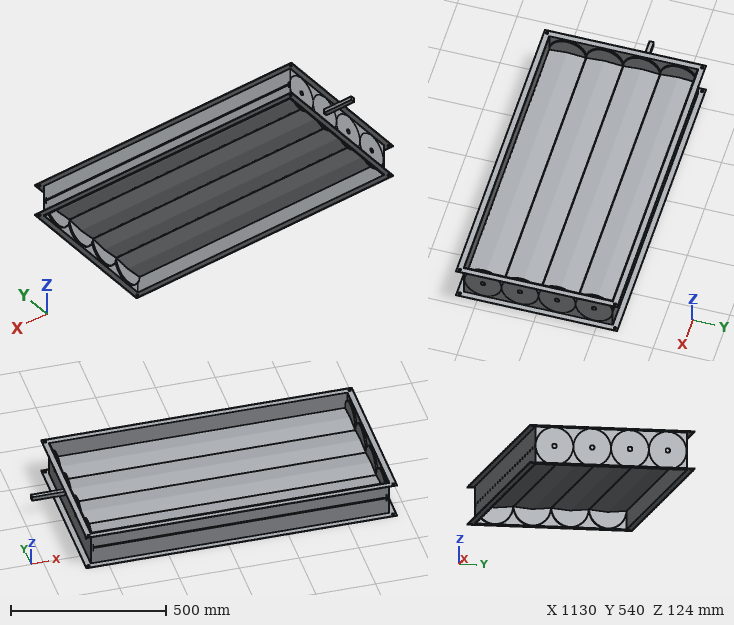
import cadquery as cq

DUCT_LENGTH = 1000.0
DUCT_WIDTH = 501.0
HEIGHT = 124.0
SHEET = 2.0
OVERALL_LENGTH = 1130.0
FLANGE_LENGTH = 1040.0
FLANGE_WIDTH = 540.0

BOLT_HOLE_DIAMETER = 7.0
BOLT_HOLE_INSET = 10.0

BLADE_COUNT = 4
DISC_THICKNESS = 6.0
DISC_GAP = 1.0
PIN_LENGTH = 1.4
PIN_DIAMETER = 15.0
RIDGE_HALF_THICKNESS = 8.0
TIP_HALF_THICKNESS = 2.0
RIDGE_FLAT = 3.0

DRIVEN_BLADE = 2
BAR_SIDE = 15.0

INNER_LENGTH = DUCT_LENGTH - 2 * SHEET
INNER_WIDTH = DUCT_WIDTH - 2 * SHEET
BLADE_PITCH = INNER_WIDTH / BLADE_COUNT
DISC_DIAMETER = BLADE_PITCH - DISC_GAP
DISC_SPAN = INNER_LENGTH - 2 * PIN_LENGTH
BLADE_LENGTH = DISC_SPAN - 2 * DISC_THICKNESS
BLADE_CENTRES = [(i - (BLADE_COUNT - 1) / 2) * BLADE_PITCH for i in range(BLADE_COUNT)]
DRIVEN_Y = BLADE_CENTRES[DRIVEN_BLADE]


def centred_box(length, width, height):
    return cq.Workplane("XY").box(length, width, height)


def rod_along_x(diameter, length, y):
    return cq.Workplane("YZ").center(y, 0).circle(diameter / 2).extrude(length / 2, both=True)


def make_channel(wall_length, flange_length, wall_outside, flange_outside):
    """Channel along X on the +Y side: a wall with an outward flange at its top and bottom."""
    wall_inside = wall_outside - SHEET
    flange_depth = flange_outside - wall_inside
    channel = centred_box(wall_length, SHEET, HEIGHT).translate((0, wall_outside - SHEET / 2, 0))
    for side in (-1, 1):
        flange = centred_box(flange_length, flange_depth, SHEET)
        flange_y = wall_inside + flange_depth / 2
        channel = channel.union(flange.translate((0, flange_y, side * (HEIGHT - SHEET) / 2)))
    return channel


def make_frame():
    """Two full-length side channels with end channels fitted between them.

    Cleaning is off so that the butt joints stay as seams across the end flanges.
    """
    side_channel = make_channel(DUCT_LENGTH, FLANGE_LENGTH, DUCT_WIDTH / 2, FLANGE_WIDTH / 2)
    end_channel = make_channel(INNER_WIDTH, INNER_WIDTH, DUCT_LENGTH / 2, FLANGE_LENGTH / 2)
    frame = side_channel
    for channel, angle in ((end_channel, 90), (side_channel, 180), (end_channel, 270)):
        frame = frame.union(channel.rotate((0, 0, 0), (0, 0, 1), angle), clean=False)
    bolt_holes = (
        cq.Workplane("XY")
        .rect(FLANGE_LENGTH - 2 * BOLT_HOLE_INSET, FLANGE_WIDTH - 2 * BOLT_HOLE_INSET, forConstruction=True)
        .vertices()
        .circle(BOLT_HOLE_DIAMETER / 2)
        .extrude(HEIGHT / 2, both=True)
    )
    return frame.cut(bolt_holes, clean=False)


def make_blade(y):
    """Ridged blade with a disc at each end and short pins that reach the end walls."""
    half_width = DISC_DIAMETER / 2
    ridge_edge = RIDGE_FLAT / 2
    upper = [
        (-half_width, TIP_HALF_THICKNESS),
        (-ridge_edge, RIDGE_HALF_THICKNESS),
        (ridge_edge, RIDGE_HALF_THICKNESS),
        (half_width, TIP_HALF_THICKNESS),
    ]
    lower = [(u, -v) for u, v in reversed(upper)]
    blade = cq.Workplane("YZ").center(y, 0).polyline(upper + lower).close().extrude(BLADE_LENGTH / 2, both=True)
    discs = rod_along_x(DISC_DIAMETER, DISC_SPAN, y).cut(centred_box(BLADE_LENGTH, DUCT_WIDTH, 2 * HEIGHT))
    pins = rod_along_x(PIN_DIAMETER, INNER_LENGTH, y).cut(centred_box(DISC_SPAN, DUCT_WIDTH, HEIGHT))
    return blade.union(discs).union(pins)


def make_drive_bar():
    """Square bar that passes through the -X wall and butts against the disc of the driven blade."""
    disc_face_x = -DISC_SPAN / 2
    bar_end_x = FLANGE_LENGTH / 2 - OVERALL_LENGTH
    length = disc_face_x - bar_end_x
    return centred_box(length, BAR_SIDE, BAR_SIDE).translate((disc_face_x - length / 2, DRIVEN_Y, 0))


damper = make_frame()
for y in BLADE_CENTRES:
    damper = damper.union(make_blade(y), clean=False)

drive_bar = make_drive_bar()
damper = damper.cut(drive_bar, clean=False)

result = cq.Compound.makeCompound([damper.val(), drive_bar.val()])